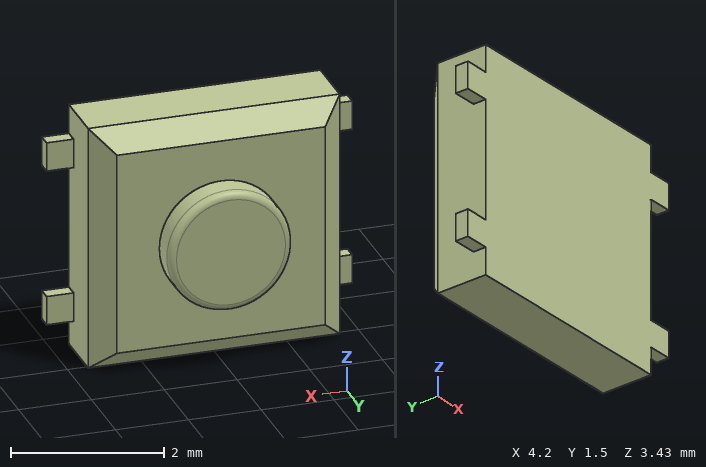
import cadquery as cq

overall_width = 4.2
overall_depth = 1.5
body_width = 3.455
body_height = 3.43

body_depth = 1.1
body_chamfer = 0.3

button_radius = 0.85
button_fillet = 0.1

terminal_height = 0.407
terminal_thickness = 0.2
terminal_spacing = 2.2


def make_body():
    """Square housing with all four edges of its button side chamfered."""
    block = cq.Workplane("XY").box(
        body_width, body_depth, body_height, centered=(True, False, True)
    )
    return block.faces(">Y").chamfer(body_chamfer)


def make_button():
    """Round push button with a rounded rim, standing on the housing."""
    button_length = overall_depth - body_depth
    button = (
        cq.Workplane("XZ", origin=(0, body_depth, 0))
        .circle(button_radius)
        .extrude(-button_length)
    )
    return button.faces(">Y").edges().fillet(button_fillet)


def make_terminal_bar(z_center):
    """Flat bar through the housing whose two ends form a pair of terminals."""
    bar = cq.Workplane("XY").box(
        overall_width, terminal_thickness, terminal_height, centered=(True, False, True)
    )
    return bar.translate((0, 0, z_center))


result = make_body().union(make_button())
for side in (-1, 1):
    result = result.union(make_terminal_bar(side * terminal_spacing / 2))